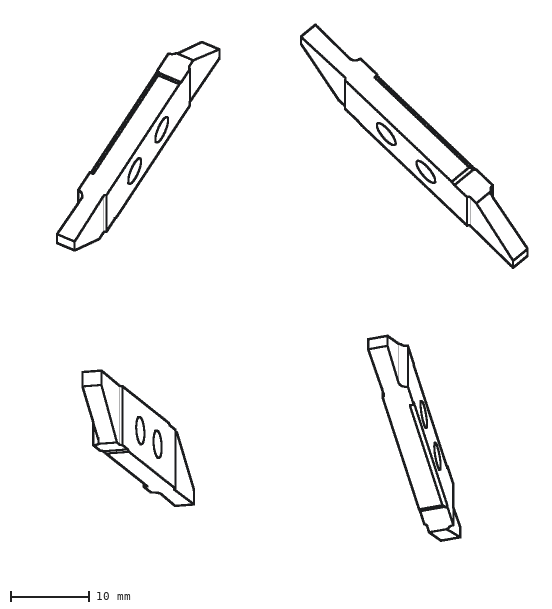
import cadquery as cq
import math

LENGTH = 40.0
WIDTH = 3.6
HEIGHT = 8.0

TIP_HEIGHT = 1.9
SLOPE_START_Y = 12.95
LAND_DROP = 0.2
LAND_START_Y = 9.1
LAND_RAMP_LENGTH = 0.5

NECK_TIP_LEFT_X = -0.9
NECK_TIP_RIGHT_X = 1.65
LEFT_FILLET = 1.0
LEFT_SHOULDER_Y = 12.5
RIGHT_FILLET = 0.3
RIGHT_SHOULDER_Y = 11.5

CHAMFER_WIDTH = 0.5
CHAMFER_HEIGHT = 0.45
CHAMFER_END_Y = 9.25
HOLE_DIAMETER = 3.5
HOLE_SPACING = 7.5

HALF_LENGTH = LENGTH / 2
HALF_WIDTH = WIDTH / 2
HALF_HEIGHT = HEIGHT / 2
DIAGONAL = math.sqrt(0.5)


def side_body():
    """Side outline through the full width; a half turn about X maps it onto itself."""
    land_z = HALF_HEIGHT - LAND_DROP
    half_outline = [
        (-HALF_LENGTH, HALF_HEIGHT),
        (LAND_START_Y - LAND_RAMP_LENGTH, HALF_HEIGHT),
        (LAND_START_Y, land_z),
        (SLOPE_START_Y, land_z),
        (HALF_LENGTH, TIP_HEIGHT - HALF_HEIGHT),
    ]
    other_half = [(-y, -z) for y, z in half_outline]
    outline = cq.Workplane("YZ").polyline(half_outline + other_half).close()
    return outline.extrude(HALF_WIDTH, both=True)


def neck_relief(side, shoulder_y, fillet, tip_x, end):
    """Material beside one neck; side is the X sign and end is the Y sign."""
    face_x = side * HALF_WIDTH
    base_x = face_x - side * fillet
    base_y = shoulder_y + fillet
    arc_middle = (face_x - side * fillet * DIAGONAL, base_y - fillet * DIAGONAL)
    return (
        cq.Workplane("XY")
        .moveTo(face_x, end * shoulder_y)
        .threePointArc((arc_middle[0], end * arc_middle[1]), (base_x, end * base_y))
        .lineTo(tip_x, end * HALF_LENGTH)
        .lineTo(face_x, end * HALF_LENGTH)
        .close()
        .extrude(HALF_HEIGHT, both=True)
    )


def edge_chamfer(level):
    """Wedge along one long edge of the -X face; level is the Z sign."""
    corner_z = level * HALF_HEIGHT
    corner = [
        (-HALF_WIDTH, corner_z),
        (-HALF_WIDTH + CHAMFER_WIDTH, corner_z),
        (-HALF_WIDTH, corner_z - level * CHAMFER_HEIGHT),
    ]
    return cq.Workplane("XZ").polyline(corner).close().extrude(CHAMFER_END_Y, both=True)


def cross_holes():
    """Pair of round holes through the width."""
    centres = [(-HOLE_SPACING / 2, 0), (HOLE_SPACING / 2, 0)]
    holes = cq.Workplane("YZ", origin=(-HALF_WIDTH, 0, 0)).pushPoints(centres).circle(HOLE_DIAMETER / 2)
    return holes.extrude(WIDTH)


result = side_body()
for sign in (-1, 1):
    result = result.cut(neck_relief(-1, LEFT_SHOULDER_Y, LEFT_FILLET, NECK_TIP_LEFT_X, sign))
    result = result.cut(neck_relief(1, RIGHT_SHOULDER_Y, RIGHT_FILLET, NECK_TIP_RIGHT_X, sign))
    result = result.cut(edge_chamfer(sign))
result = result.cut(cross_holes())